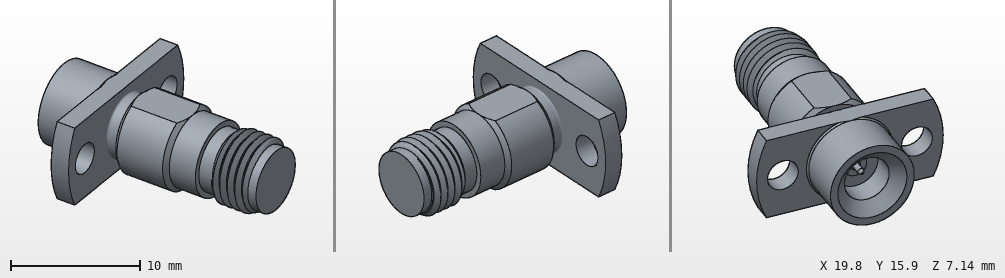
import cadquery as cq
import math

TOTAL_LENGTH = 19.81

BARREL_RADIUS = 3.57
MOUTH_RADIUS = 2.93
BORE_RADIUS = 1.9
MOUTH_DEPTH = 1.03
BORE_DEPTH = 3.13

FLANGE_RADIUS = 7.95
FLANGE_HALF_HEIGHT = BARREL_RADIUS
FLANGE_START = 4.18
FLANGE_END = 5.82
MOUNT_HOLE_RADIUS = 1.3
MOUNT_HOLE_OFFSET = 5.7
ROOT_FILLET = 0.14

STEM_RADIUS = 2.71
COLLAR_START = 7.01
COLLAR_END = 12.02
COLLAR_RADIUS = BARREL_RADIUS
SHOULDER_RADIUS = 3.19
SHOULDER_END = 14.46
COLLAR_FLAT_HEIGHT = SHOULDER_RADIUS
COLLAR_CHAMFER = COLLAR_RADIUS - SHOULDER_RADIUS

THREAD_START = 15.63
THREAD_END = 19.04
FIVE_PITCH_LENGTH = 3.53
THREAD_PITCH = FIVE_PITCH_LENGTH / 5
THREAD_RADIUS = SHOULDER_RADIUS
THREAD_DEPTH = THREAD_RADIUS - STEM_RADIUS
THREAD_ROOT_FLAT = 0.1
THREAD_TURNS = 7
RIDGE_EMBED = 0.05
BLANK_CLEARANCE = 0.1
HELIX_START = 14.8

INSULATOR_RADIUS = 0.95
PIN_HOLE_RADIUS = 0.42
PIN_RADIUS = 0.28
PIN_TIP_RADIUS = 0.08
PIN_TIP_LENGTH = 0.3
PIN_PROTRUSION = 1.29
INSULATOR_LENGTH = 1.58
INSULATOR_END = BORE_DEPTH + INSULATOR_LENGTH


def cylinder(radius, start, end):
    return cq.Workplane("YZ", origin=(start, 0, 0)).circle(radius).extrude(end - start)


def revolve_about_x(points):
    """Revolve a closed (x, radius) outline about the connector axis."""
    return cq.Workplane("XY").polyline(points).close().revolve(360, (0, 0, 0), (1, 0, 0))


def root_fillet(radius, face, direction):
    """Concave ring joining a cylinder to a flange face; direction is the way the cylinder runs in X."""
    tip = face + direction * ROOT_FILLET
    outer = radius + ROOT_FILLET
    sag = ROOT_FILLET * (1 - math.sqrt(0.5))
    ring = (
        cq.Workplane("XY")
        .moveTo(face, 0)
        .lineTo(face, outer)
        .threePointArc((face + direction * sag, radius + sag), (tip, radius))
        .lineTo(tip, 0)
        .close()
        .revolve(360, (0, 0, 0), (1, 0, 0))
    )
    return ring.intersect(between_flats(FLANGE_HALF_HEIGHT))


def between_flats(half_height):
    """Block much larger than the part in X and Y, limited in Z."""
    reach = 3 * TOTAL_LENGTH
    return cq.Workplane("XY").box(reach, reach, 2 * half_height)


def make_flange():
    disc = cylinder(FLANGE_RADIUS, FLANGE_START, FLANGE_END)
    flange = disc.intersect(between_flats(FLANGE_HALF_HEIGHT))
    for side in (-1, 1):
        hole = cylinder(MOUNT_HOLE_RADIUS, FLANGE_START, FLANGE_END)
        flange = flange.cut(hole.translate((0, side * MOUNT_HOLE_OFFSET, 0)))
    return flange


def make_collar():
    collar = cylinder(COLLAR_RADIUS, COLLAR_START, COLLAR_END).edges().chamfer(COLLAR_CHAMFER)
    return collar.intersect(between_flats(COLLAR_FLAT_HEIGHT))


def make_thread():
    """Helical ridge trimmed by a blank with 45 degree ends."""
    root_radius = STEM_RADIUS - RIDGE_EMBED
    half_width_at_stem = (THREAD_PITCH - THREAD_ROOT_FLAT) / 2
    half_base = half_width_at_stem * (THREAD_DEPTH + RIDGE_EMBED) / THREAD_DEPTH
    path = cq.Wire.makeHelix(THREAD_PITCH, THREAD_TURNS * THREAD_PITCH, root_radius)
    ridge = (
        cq.Workplane("XZ")
        .moveTo(root_radius, -half_base)
        .lineTo(THREAD_RADIUS, 0)
        .lineTo(root_radius, half_base)
        .close()
        .sweep(cq.Workplane(path), isFrenet=True)
        .rotate((0, 0, 0), (0, 1, 0), 90)
        .translate((HELIX_START, 0, 0))
    )
    blank_depth = THREAD_DEPTH + BLANK_CLEARANCE
    blank = revolve_about_x([
        (THREAD_START, 0),
        (THREAD_START, STEM_RADIUS),
        (THREAD_START + blank_depth, STEM_RADIUS + blank_depth),
        (THREAD_END - blank_depth, STEM_RADIUS + blank_depth),
        (THREAD_END, STEM_RADIUS),
        (THREAD_END, 0),
    ])
    return ridge.intersect(blank)


def make_housing():
    body = cylinder(BARREL_RADIUS, 0, FLANGE_START)
    body = body.union(cylinder(STEM_RADIUS, FLANGE_START, TOTAL_LENGTH))
    body = body.union(make_flange())
    body = body.union(root_fillet(BARREL_RADIUS, FLANGE_START, -1))
    body = body.union(root_fillet(STEM_RADIUS, FLANGE_END, 1))
    body = body.union(make_collar())
    body = body.union(cylinder(SHOULDER_RADIUS, COLLAR_END, SHOULDER_END))
    body = body.union(make_thread())
    mouth = revolve_about_x([
        (0, 0),
        (0, MOUTH_RADIUS),
        (MOUTH_DEPTH, BORE_RADIUS),
        (BORE_DEPTH, BORE_RADIUS),
        (BORE_DEPTH, 0),
    ])
    return body.cut(mouth).cut(cylinder(INSULATOR_RADIUS, BORE_DEPTH, INSULATOR_END))


def make_insulator():
    sleeve = cylinder(INSULATOR_RADIUS, BORE_DEPTH, INSULATOR_END)
    return sleeve.cut(cylinder(PIN_HOLE_RADIUS, BORE_DEPTH, INSULATOR_END))


def make_pin():
    """Pin filling the insulator hole, stepped down to a tapered contact in the bore."""
    tip = BORE_DEPTH - PIN_PROTRUSION
    return revolve_about_x([
        (tip, 0),
        (tip, PIN_TIP_RADIUS),
        (tip + PIN_TIP_LENGTH, PIN_RADIUS),
        (BORE_DEPTH, PIN_RADIUS),
        (BORE_DEPTH, PIN_HOLE_RADIUS),
        (INSULATOR_END, PIN_HOLE_RADIUS),
        (INSULATOR_END, 0),
    ])


housing = make_housing()
insulator = make_insulator()
pin = make_pin()
result = cq.Compound.makeCompound([housing.val(), insulator.val(), pin.val()])